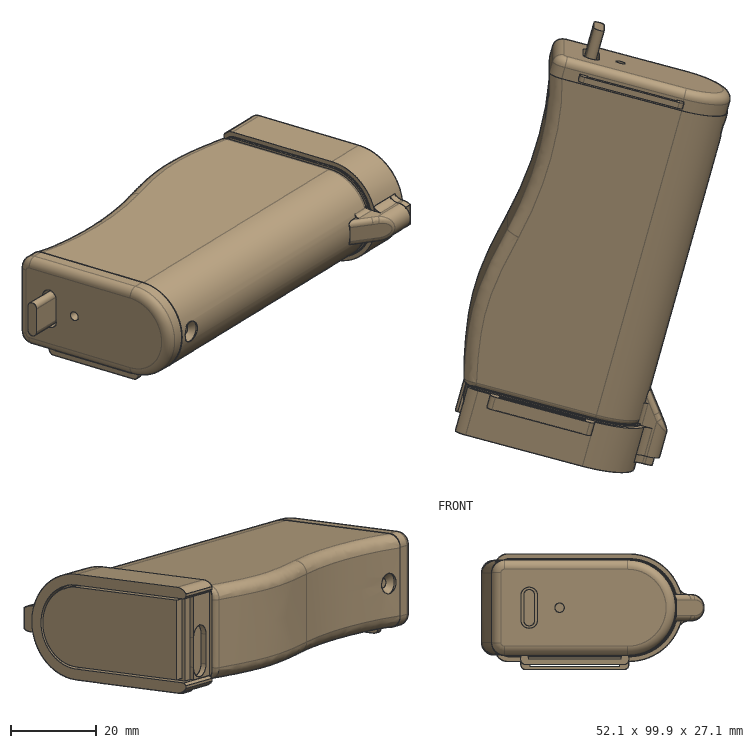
import cadquery as cq
import math

OVERALL_LENGTH = 99.9
BOTTOM_Z = -14.5
FAR_LEFT = -59.9
PICK_MARGIN = 0.1

CAP_LENGTH = 11.0
CAP_RADIUS = 12.6
CAP_CORNER = 3.0
CAP_LEFT = -30.8
CAP_TRIM = 0.5
LIP_BEVEL = 0.6
CAVITY_RADIUS = 10.0

GRIP_RADIUS = 11.1
GRIP_END = 87.9
GRIP_CORNER = 3.0
GRIP_END_ROUND = 1.4
GRIP_LEFT = -31.8
BULGE_X, BULGE_STATION = -34.5, 30.5
INFLECTION_X, INFLECTION_STATION = -31.7, 49.2
WAIST_X, WAIST_STATION = -29.5, 68.4
WAVE_SLOPE = 0.23
WAIST_END_SLOPE = 0.31

COLLAR_RADIUS = 11.5
COLLAR_LENGTH = 0.5
COLLAR_BEVEL = 0.2

SCREW_STATION = 84.2
SCREW_HEAD_DIA = 5.0
SCREW_TIP_DIA = 2.2
SCREW_LEFT_X, SCREW_RIGHT_X = -31.2, 10.7

BASE_END = 92.9
BASE_RADIUS = 11.2
BASE_AXIS_X = -0.3
BASE_LEFT = -32.1
BASE_CORNER = 3.0
BASE_ROUND = 2.2
PINHOLE_X = -16.2
PINHOLE_DIA = 2.2
PINHOLE_DEPTH = 3.0

PLUG_X = -23.3
PLUG_HEIGHT, PLUG_THICKNESS = 8.5, 2.5
SOCKET_HEIGHT, SOCKET_THICKNESS = 9.6, 3.9
SOCKET_DEPTH = 3.0

LOOP_LEFT, LOOP_RIGHT = -25.3, 0.0
LOOP_CORNER = 1.2
CAP_LOOP_START = 7.9
CAP_LOOP_BAR = 0.8
CAP_LOOP_SIDE = 2.2
BASE_LOOP_START, BASE_LOOP_END = 88.7, 90.1
BASE_LOOP_BOTTOM = -13.3
BASE_LOOP_BAR = 1.3
BASE_LOOP_SIDE = 1.8

HOOK_HALF = 3.1
HOOK_RIGHT = 17.6
HOOK_SHOULDER = 4.2
HOOK_SLOPE_START = 10.9
HOOK_SLOPE_END = 19.5
HOOK_EDGE_ROUND = 1.3
CAP_WEB_TOE_X = 13.9
CAP_WEB_ROOT_X = 11.9
GRIP_WEB_TOE_X = 11.4
GRIP_WEB_ROOT_X = 10.3
GRIP_WEB_END = 16.5
NUB_RIGHT = 16.3
NUB_START = 2.3

INSERT_STEPS = [(0.0, -28.2), (2.1, -29.1), (4.3, -30.0)]
INSERT_END_HALF = 9.5
SLOT_WIDTH, SLOT_HEIGHT = 5.2, 12.3
SLOT_STATION = 7.0
SLOT_Z = -3.5
SLOT_FLOOR_X = -28.6


def section_at(station):
    """Workplane across the part whose extrusions run toward -Y."""
    return cq.Workplane("XZ", origin=(0, -station, 0))


def d_bar(left, radius, start, end, axis_x=0.0):
    """Bar with a flat left side and a half-round right side."""
    return (
        section_at(start)
        .moveTo(left, -radius)
        .lineTo(axis_x, -radius)
        .threePointArc((axis_x + radius, 0), (axis_x, radius))
        .lineTo(left, radius)
        .close()
        .extrude(end - start)
    )


def block(x_range, station_range, z_range):
    (x0, x1), (s0, s1), (z0, z1) = x_range, station_range, z_range
    return cq.Workplane("XY").box(x1 - x0, s1 - s0, z1 - z0, centered=False).translate((x0, -s1, z0))


def strap_loop(start, end, bottom, bar, side, opening_top):
    """Rounded strap loop that hangs below the part, with a wide opening above its bar."""
    loop = block((LOOP_LEFT, LOOP_RIGHT), (start, end), (bottom, -CAVITY_RADIUS))
    loop = loop.edges("|Y and <Z").fillet(LOOP_CORNER)
    opening = block((LOOP_LEFT + side, LOOP_RIGHT - side), (start, end), (bottom + bar, opening_top))
    return loop.cut(opening)


def wavy_bar():
    """Bar whose left side swells under the fingers and narrows at the waist."""
    inflection = (INFLECTION_X, -INFLECTION_STATION)
    outline = (
        cq.Workplane("XY", origin=(0, 0, -GRIP_RADIUS))
        .moveTo(GRIP_RADIUS, -CAP_LENGTH)
        .lineTo(GRIP_RADIUS, -GRIP_END)
        .lineTo(BASE_LEFT, -GRIP_END)
        .spline([(WAIST_X, -WAIST_STATION), inflection],
                tangents=[(WAIST_END_SLOPE, 1), (-WAVE_SLOPE, 1)], includeCurrent=True)
        .spline([(BULGE_X, -BULGE_STATION), (GRIP_LEFT, -CAP_LENGTH)],
                tangents=[(-WAVE_SLOPE, 1), (WAVE_SLOPE, 1)], includeCurrent=True)
        .close()
        .extrude(2 * GRIP_RADIUS)
    )
    bar = outline.intersect(d_bar(FAR_LEFT, GRIP_RADIUS, CAP_LENGTH, GRIP_END))
    return bar.edges("%BSPLINE").fillet(GRIP_CORNER)


def countersink(surface_x, inward):
    """Cone for a screw head, entering from the side of the grip."""
    depth = (SCREW_HEAD_DIA - SCREW_TIP_DIA) / 2
    cone = cq.Solid.makeCone(
        SCREW_HEAD_DIA / 2, SCREW_TIP_DIA / 2, depth,
        pnt=cq.Vector(surface_x, -SCREW_STATION, 0), dir=cq.Vector(inward, 0, 0),
    )
    mouth = cq.Solid.makeCylinder(
        SCREW_HEAD_DIA / 2, SCREW_HEAD_DIA,
        pnt=cq.Vector(surface_x, -SCREW_STATION, 0), dir=cq.Vector(-inward, 0, 0),
    )
    return cq.Workplane(cone.fuse(mouth))


def collar():
    """Thin bevelled ring that fills the groove between the grip's rounded end and the cap."""
    ring = d_bar(CAP_LEFT, COLLAR_RADIUS, CAP_LENGTH, CAP_LENGTH + COLLAR_LENGTH)
    ring = ring.edges("|Y and <X").fillet(CAP_CORNER)
    return ring.faces("<Y").chamfer(COLLAR_BEVEL)


def hook_webs(side_radius, root_x, toe_x, start, end):
    """Pair of curved webs that blend the hook's faces into a round side."""
    root_z = math.sqrt(side_radius**2 - root_x**2)
    sag_z = HOOK_HALF + (root_z - HOOK_HALF) / 4
    web = (
        section_at(start)
        .moveTo(root_x, root_z)
        .threePointArc(((root_x + toe_x) / 2, sag_z), (toe_x, HOOK_HALF))
        .lineTo(toe_x, 0)
        .lineTo(root_x, 0)
        .close()
        .extrude(end - start)
    )
    return web.union(web.mirror("XY"))


def make_hook():
    """Hook that rises from the grip and reaches along the cap, with a slanted underside."""
    bar = d_bar(0, HOOK_HALF, HOOK_SHOULDER, HOOK_SLOPE_END, HOOK_RIGHT - HOOK_HALF)
    below_slope = (
        cq.Workplane("XY", origin=(0, 0, -HOOK_HALF))
        .moveTo(HOOK_RIGHT, -HOOK_SLOPE_START)
        .lineTo(GRIP_RADIUS, -HOOK_SLOPE_END)
        .lineTo(HOOK_RIGHT, -HOOK_SLOPE_END)
        .close()
        .extrude(2 * HOOK_HALF)
    )
    hook = bar.cut(below_slope)
    slope = cq.selectors.BoxSelector(
        (GRIP_RADIUS, -HOOK_SLOPE_END - PICK_MARGIN, -HOOK_HALF - PICK_MARGIN),
        (HOOK_RIGHT, -HOOK_SLOPE_START + PICK_MARGIN, HOOK_HALF + PICK_MARGIN),
    )
    hook = hook.edges(slope).edges("not |Z").edges("not |Y").fillet(HOOK_EDGE_ROUND)
    hook = hook.union(hook_webs(CAP_RADIUS, CAP_WEB_ROOT_X, CAP_WEB_TOE_X, HOOK_SHOULDER, CAP_LENGTH))
    hook = hook.union(hook_webs(GRIP_RADIUS, GRIP_WEB_ROOT_X, GRIP_WEB_TOE_X, CAP_LENGTH, GRIP_WEB_END))
    return hook.cut(d_bar(CAP_LEFT, CAP_RADIUS, 0, CAP_LENGTH))


def make_grip():
    """Handle with its wavy side, rounded end, collar, hook and countersinks."""
    grip = wavy_bar().faces(">Y").edges().fillet(GRIP_END_ROUND)
    grip = grip.union(collar()).union(make_hook())
    grip = grip.cut(countersink(SCREW_LEFT_X, 1))
    return grip.cut(countersink(SCREW_RIGHT_X, -1))


def make_nub():
    """Short stub on the cap that butts against the end of the hook."""
    bar = d_bar(0, HOOK_HALF, NUB_START, HOOK_SHOULDER, HOOK_RIGHT - HOOK_HALF)
    bar = bar.intersect(block((0, NUB_RIGHT), (NUB_START, HOOK_SHOULDER), (-HOOK_HALF, HOOK_HALF)))
    return bar.union(hook_webs(CAP_RADIUS, CAP_WEB_ROOT_X, CAP_WEB_TOE_X, NUB_START, HOOK_SHOULDER))


def make_cap():
    """Sleeve around the insert, open on the left, with lips above and below."""
    cap = d_bar(CAP_LEFT - CAP_TRIM, CAP_RADIUS, 0, CAP_LENGTH)
    cap = cap.edges("|Y and <X").fillet(CAP_CORNER)
    cap = cap.union(make_nub())
    loop = strap_loop(CAP_LOOP_START, CAP_LENGTH, BOTTOM_Z, CAP_LOOP_BAR, CAP_LOOP_SIDE, -CAP_RADIUS)
    cap = cap.union(loop)
    cap = cap.cut(d_bar(FAR_LEFT, CAVITY_RADIUS, 0, CAP_LENGTH))
    cap = cap.cut(block((FAR_LEFT, CAP_LEFT), (0, CAP_LENGTH), (-CAP_RADIUS, CAP_RADIUS)))
    lip_edges = cq.selectors.BoxSelector(
        (CAP_LEFT - PICK_MARGIN, -CAP_LENGTH, -CAVITY_RADIUS - PICK_MARGIN),
        (CAP_LEFT + PICK_MARGIN, 0, CAVITY_RADIUS + PICK_MARGIN),
    )
    return cap.edges(lip_edges).chamfer(LIP_BEVEL)


def socket_prism(height, thickness, start, end):
    """Upright round-ended prism at the plug's place."""
    return section_at(start).center(PLUG_X, 0).slot2D(height, thickness, 90).extrude(end - start)


def make_base():
    """End piece with rounded edges, a strap loop, the plug socket and a pinhole."""
    base = d_bar(BASE_LEFT, BASE_RADIUS, GRIP_END, BASE_END, BASE_AXIS_X)
    base = base.edges("|Y and <X").fillet(BASE_CORNER)
    base = base.faces("<Y").edges().fillet(BASE_ROUND)
    loop = strap_loop(
        BASE_LOOP_START, BASE_LOOP_END, BASE_LOOP_BOTTOM, BASE_LOOP_BAR, BASE_LOOP_SIDE, -BASE_RADIUS
    )
    base = base.union(loop)
    base = base.cut(socket_prism(SOCKET_HEIGHT, SOCKET_THICKNESS, BASE_END - SOCKET_DEPTH, BASE_END))
    pinhole = section_at(BASE_END - PINHOLE_DEPTH).center(PINHOLE_X, 0).circle(PINHOLE_DIA / 2)
    return base.cut(pinhole.extrude(PINHOLE_DEPTH))


def make_plug():
    """Plug standing on the floor of its socket."""
    return socket_prism(PLUG_HEIGHT, PLUG_THICKNESS, BASE_END - SOCKET_DEPTH, OVERALL_LENGTH)


def make_insert():
    """Block inside the cap with a stepped left face and a shallow slot."""
    body_start, body_left = INSERT_STEPS[1][0], INSERT_STEPS[-1][1]
    insert = d_bar(body_left, INSERT_END_HALF, 0, body_start)
    insert = insert.union(d_bar(body_left, CAVITY_RADIUS, body_start, CAP_LENGTH))
    for (start, left), (end, _) in zip(INSERT_STEPS, INSERT_STEPS[1:]):
        insert = insert.cut(block((FAR_LEFT, left), (start, end), (-CAVITY_RADIUS, CAVITY_RADIUS)))
    slot = (
        cq.Workplane("YZ", origin=(FAR_LEFT, -SLOT_STATION, SLOT_Z))
        .slot2D(SLOT_HEIGHT, SLOT_WIDTH, 90)
        .extrude(SLOT_FLOOR_X - FAR_LEFT)
    )
    return insert.cut(slot)


grip = make_grip()
base = make_base()
plug = make_plug()
cap = make_cap()
insert = make_insert()
result = cq.Compound.makeCompound([body.solids().val() for body in (grip, base, plug, cap, insert)])